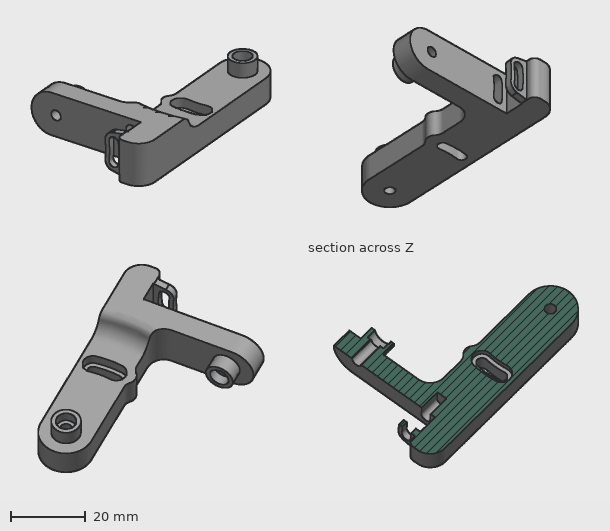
import cadquery as cq
import math

length = 65.0
width = 44.0
height = 13.0

arm_width = 14.95
arm_thickness = 8.0
arm_left = width - arm_width
arm_pivot = (width - arm_width / 2, length - arm_width / 2)

side_front = 11.05
side_thickness = 6.5
side_back = side_front + side_thickness
side_pivot = (8.0, height / 2)
inner_corner_radius = 4.9

leg_left = 35.5
leg_tip_left = 35.2
leg_left_radius = 1.95
leg_right_radius = 5.2

boss_diameter = 8.0
boss_height = 4.5
bore_diameter = 5.45
bore_depth = 3.0
pivot_hole_diameter = 3.05

slot_radius = 24.45
slot_width = 3.05
slot_border_width = 5.6
arm_slot_half_span = 3.45
side_slot_half_span = 3.05
arm_slot_pocket_depth = bore_depth

bulge_reach = 1.55
bulge_half_length = 3.95

tab_front = 3.0
tab_thickness = 2.1
tab_back = tab_front + tab_thickness
tab_root_half_height = 6.45

step_inner_radius = 32.4
step_middle_radius = 37.05
step_outer_radius = 39.8


def curved_slot(plane, pivot, direction, half_span, slot_size, depth):
    """Solid slot whose middle line is an arc about the pivot; direction is in degrees."""
    half_angle = math.degrees(math.asin(half_span / slot_radius))

    def point(radius, angle):
        turn = math.radians(direction + angle)
        return (pivot[0] + radius * math.cos(turn), pivot[1] + radius * math.sin(turn))

    inner = slot_radius - slot_size / 2
    outer = slot_radius + slot_size / 2
    cap_angle = half_angle + math.degrees(slot_size / 2 / slot_radius)
    return (
        plane.moveTo(*point(inner, -half_angle))
        .threePointArc(point(inner, 0), point(inner, half_angle))
        .threePointArc(point(slot_radius, cap_angle), point(outer, half_angle))
        .threePointArc(point(outer, 0), point(outer, -half_angle))
        .threePointArc(point(slot_radius, -cap_angle), point(inner, -half_angle))
        .close()
        .extrude(depth)
    )


def front_plane(y):
    """XZ sketch plane whose extrusions run toward +Y for negative depths."""
    return cq.Workplane("XZ", origin=(0, y, 0))


def make_arm_and_leg():
    bulge_y = arm_pivot[1] - slot_radius
    return (
        cq.Workplane("XY")
        .moveTo(leg_left, side_front)
        .lineTo(leg_left, tab_back)
        .lineTo(leg_tip_left, tab_back)
        .lineTo(leg_tip_left, leg_left_radius)
        .radiusArc((leg_tip_left + leg_left_radius, 0), -leg_left_radius)
        .lineTo(width - leg_right_radius, 0)
        .radiusArc((width, leg_right_radius), -leg_right_radius)
        .lineTo(width, arm_pivot[1])
        .threePointArc((arm_pivot[0], length), (arm_left, arm_pivot[1]))
        .lineTo(arm_left, bulge_y + bulge_half_length)
        .tangentArcPoint((arm_left - bulge_reach / 2, bulge_y + bulge_half_length / 2), relative=False)
        .tangentArcPoint((arm_left - bulge_reach, bulge_y), relative=False)
        .tangentArcPoint((arm_left - bulge_reach / 2, bulge_y - bulge_half_length / 2), relative=False)
        .tangentArcPoint((arm_left, bulge_y - bulge_half_length), relative=False)
        .lineTo(arm_left, side_back + inner_corner_radius)
        .radiusArc((arm_left - inner_corner_radius, side_back), inner_corner_radius)
        .lineTo(arm_left - inner_corner_radius, side_front)
        .close()
        .extrude(height)
    )


def make_side_arm():
    end_radius = height / 2
    return (
        front_plane(side_front)
        .moveTo(end_radius, 0)
        .lineTo(leg_left, 0)
        .lineTo(leg_left, height)
        .lineTo(end_radius, height)
        .threePointArc((0, end_radius), (end_radius, 0))
        .close()
        .extrude(-side_thickness)
    )


def make_step_cutter():
    """Space above the long arm: an S-shaped profile revolved about the arm pivot."""
    middle_share = (step_middle_radius - step_inner_radius) / (step_outer_radius - step_inner_radius)
    middle_z = arm_thickness + (height - arm_thickness) * middle_share
    return (
        cq.Workplane("XZ", origin=(arm_pivot[0], arm_pivot[1], 0))
        .moveTo(0, arm_thickness)
        .lineTo(step_inner_radius, arm_thickness)
        .tangentArcPoint((step_middle_radius, middle_z), relative=False)
        .tangentArcPoint((step_outer_radius, height), relative=False)
        .lineTo(0, height)
        .close()
        .revolve(360, (0, 0, 0), (0, 1, 0))
    )


def make_tab():
    """Slot-shaped tab end joined to the leg by edges tangent to its end rounds."""
    cap_radius = slot_border_width / 2
    cap_x = side_pivot[0] + math.sqrt(slot_radius**2 - side_slot_half_span**2)
    run = leg_tip_left - cap_x
    rise = tab_root_half_height - side_slot_half_span
    tangent_angle = math.atan2(rise, run) + math.acos(cap_radius / math.hypot(run, rise))
    tangent_x = cap_x + cap_radius * math.cos(tangent_angle)
    tangent_rise = side_slot_half_span + cap_radius * math.sin(tangent_angle)
    middle_z = side_pivot[1]
    web = (
        front_plane(tab_front)
        .polyline([
            (cap_x, middle_z - side_slot_half_span),
            (tangent_x, middle_z - tangent_rise),
            (leg_tip_left, middle_z - tab_root_half_height),
            (leg_left, middle_z - tab_root_half_height),
            (leg_left, middle_z + tab_root_half_height),
            (leg_tip_left, middle_z + tab_root_half_height),
            (tangent_x, middle_z + tangent_rise),
            (cap_x, middle_z + side_slot_half_span),
        ])
        .close()
        .extrude(-tab_thickness)
    )
    end = curved_slot(
        front_plane(tab_front), side_pivot, 0, side_slot_half_span, slot_border_width, -tab_thickness
    )
    return web.union(end)


def add_pivot(body, base_plane, pivot, thickness):
    """Add a boss, its counterbore and a through hole; the plane faces out of the boss."""
    plane = base_plane.center(*pivot)
    top = thickness + boss_height
    boss = plane.circle(boss_diameter / 2).extrude(top)
    hole = plane.circle(pivot_hole_diameter / 2).extrude(top)
    bore = plane.workplane(offset=top - bore_depth).circle(bore_diameter / 2).extrude(bore_depth)
    return body.union(boss).cut(hole).cut(bore)


def cut_arm_slot(body):
    slot = curved_slot(
        cq.Workplane("XY"), arm_pivot, -90, arm_slot_half_span, slot_width, arm_thickness
    )
    pocket_plane = cq.Workplane("XY", origin=(0, 0, arm_thickness - arm_slot_pocket_depth))
    pocket = curved_slot(
        pocket_plane, arm_pivot, -90, arm_slot_half_span, slot_border_width, arm_slot_pocket_depth
    )
    return body.cut(slot).cut(pocket)


def cut_side_slot(body):
    """One slot through the tab, continued as a blind slot as deep as the side arm."""
    slot = curved_slot(
        front_plane(tab_front), side_pivot, 0, side_slot_half_span, slot_width, tab_front - side_back
    )
    return body.cut(slot)


result = make_arm_and_leg().union(make_side_arm())
result = result.cut(make_step_cutter())
result = result.union(make_tab())
result = add_pivot(result, cq.Workplane("XY"), arm_pivot, arm_thickness)
side_boss_plane = cq.Workplane(cq.Plane((0, side_front, 0), xDir=(1, 0, 0), normal=(0, 1, 0)))
result = add_pivot(result, side_boss_plane, (side_pivot[0], -side_pivot[1]), side_thickness)
result = cut_arm_slot(result)
result = cut_side_slot(result)